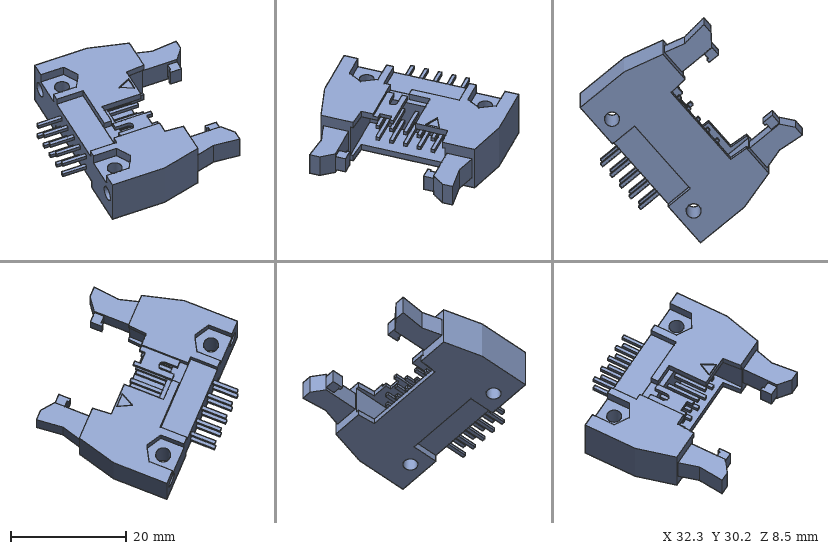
import cadquery as cq
import math

LENGTH = 32.3
HEIGHT = 8.5
MID_Z = HEIGHT / 2
SIDE_Y = 10.0
TOWER_Y = 17.25
TOWER_OUTER_X = 14.2
TOWER_INNER_X = 8.25
MIDDLE_Y = 13.82
MIDDLE_HALF = 7.98

WALL = 1.2
CAVITY_HALF = 8.72
CAVITY_FLOOR_Y = 7.4

PANEL_HALF = 6.98
PANEL_Y = 5.05
PANEL_SINK = 1.23
KEY_HALF = 2.07
KEY_END_Y = 6.43
PLATE_RIGHT_X = 5.78
PLATE_END_Y = 6.52
PLATE_SINK = 0.5
CHANNEL_LEFT_X = 1.8
NOTCH_X = 3.8
NOTCH_WIDTH = 2.13
NOTCH_DEPTH = 1.05
PLATE_SLOT_WIDTH = 1.45
PLATE_SLOT_TIP_Y = 9.63
MARK_X = -5.07
MARK_WIDTH = 2.52
MARK_BASE_Y = 13.47
MARK_TIP_Y = 11.0
MARK_DEPTH = 0.25

UNDER_HALF = 7.45
UNDER_HEIGHT = 1.52
UNDER_DEPTH = PANEL_Y

HOLE_DIAMETER = 2.6
SCREW_X = 10.95
SCREW_Y = 2.85
NUT_HALF_FLATS = 2.65
NUT_DEPTH = 1.78
BLIND_X = 14.0
BLIND_Z = 4.43
BLIND_DEPTH = 6.45

PIN_COLUMNS = 5
PIN_ROWS = 2
PIN_PITCH = 2.55
PIN_WIDTH = 0.65
PIN_TAIL = 4.52
PIN_TIP_Y = 13.47

OVERALL_DEPTH = 30.25
LATCH_TIP_Y = OVERALL_DEPTH - PIN_TAIL
LATCH_THICKNESS = 4.1
LATCH_INNER_X = 9.08
LATCH_BASE_X = 13.75
LATCH_WAIST_X = 12.73
LATCH_WAIST_Y = 20.93
LATCH_TIP_INNER_X = 11.35
LATCH_TIP_OUTER_X = 13.2
HOOK_TOP_Y = 24.0
HOOK_BOTTOM_Y = 22.2
HOOK_REACH_X = 7.2
HOOK_LIP_X = 7.82
HOOK_LIP_Y = 21.85
HOOK_THICKNESS = 2.9


def box(x_range, y_range, z_range):
    """Box between pairs of coordinates."""
    spans = [high - low for low, high in (x_range, y_range, z_range)]
    corner = (x_range[0], y_range[0], z_range[0])
    return cq.Workplane("XY").box(*spans, centered=False).translate(corner)


def prism(points, bottom, top):
    """Vertical prism of a polygon in XY."""
    return cq.Workplane("XY").workplane(offset=bottom).polyline(points).close().extrude(top - bottom)


def both_sides(solid):
    """The solid together with its mirror image across the middle plane."""
    return solid.union(solid.mirror("YZ"))


def housing():
    """Outer block with its towers, hollowed by the cavity and recessed underneath."""
    half = LENGTH / 2
    right = [
        (half, 0),
        (half, SIDE_Y),
        (TOWER_OUTER_X, TOWER_Y),
        (TOWER_INNER_X, TOWER_Y),
        (MIDDLE_HALF, MIDDLE_Y),
    ]
    left = [(-x, y) for x, y in reversed(right)]
    body = prism(right + left, 0, HEIGHT)
    cavity = box((-CAVITY_HALF, CAVITY_HALF), (CAVITY_FLOOR_Y, TOWER_Y), (WALL, HEIGHT - WALL))
    under = box((-UNDER_HALF, UNDER_HALF), (0, UNDER_DEPTH), (0, UNDER_HEIGHT))
    return body.cut(cavity).cut(under)


def upper_wall_cuts():
    """Panel, polarising slot, thinned plate with its slot and notch, and the contact mark."""
    through = (HEIGHT - WALL, HEIGHT)
    panel = box((-PANEL_HALF, PANEL_HALF), (0, PANEL_Y), (HEIGHT - PANEL_SINK, HEIGHT))
    key_slot = box((-KEY_HALF, KEY_HALF), (KEY_END_Y, MIDDLE_Y), through)
    channel = box((CHANNEL_LEFT_X, PLATE_RIGHT_X), (PANEL_Y, PLATE_END_Y), through)
    sink = box((KEY_HALF, PLATE_RIGHT_X), (PLATE_END_Y, MIDDLE_Y), (HEIGHT - PLATE_SINK, HEIGHT))
    notch = box(
        (NOTCH_X - NOTCH_WIDTH / 2, NOTCH_X + NOTCH_WIDTH / 2),
        (MIDDLE_Y - NOTCH_DEPTH, MIDDLE_Y),
        through,
    )
    radius = PLATE_SLOT_WIDTH / 2
    slot_centre_y = PLATE_SLOT_TIP_Y - radius
    slot = box((NOTCH_X - radius, NOTCH_X + radius), (PLATE_END_Y, slot_centre_y), through)
    slot_end = (
        cq.Workplane("XY", origin=(NOTCH_X, slot_centre_y, HEIGHT - WALL)).circle(radius).extrude(WALL)
    )
    mark = prism(
        [
            (MARK_X - MARK_WIDTH / 2, MARK_BASE_Y),
            (MARK_X + MARK_WIDTH / 2, MARK_BASE_Y),
            (MARK_X, MARK_TIP_Y),
        ],
        HEIGHT - MARK_DEPTH,
        HEIGHT,
    )
    return [panel, key_slot, channel, sink, notch, slot, slot_end, mark]


def mounting_cuts():
    """Hexagon nut pockets open at the board face, screw holes and blind holes."""
    shoulder = NUT_HALF_FLATS * math.tan(math.radians(30))
    apex = NUT_HALF_FLATS / math.cos(math.radians(30))
    pocket = prism(
        [
            (SCREW_X - NUT_HALF_FLATS, 0),
            (SCREW_X + NUT_HALF_FLATS, 0),
            (SCREW_X + NUT_HALF_FLATS, SCREW_Y + shoulder),
            (SCREW_X, SCREW_Y + apex),
            (SCREW_X - NUT_HALF_FLATS, SCREW_Y + shoulder),
        ],
        HEIGHT - NUT_DEPTH,
        HEIGHT,
    )
    screw_hole = cq.Workplane("XY").center(SCREW_X, SCREW_Y).circle(HOLE_DIAMETER / 2).extrude(HEIGHT)
    blind_hole = (
        cq.Workplane("XZ").center(BLIND_X, BLIND_Z).circle(HOLE_DIAMETER / 2).extrude(-BLIND_DEPTH)
    )
    return [both_sides(cut) for cut in (pocket, screw_hole, blind_hole)]


def pins():
    """Square pins that run through the cavity floor and stand out of the board face."""
    length = PIN_TAIL + PIN_TIP_Y
    return (
        cq.Workplane("XZ", origin=(0, -PIN_TAIL, MID_Z))
        .rarray(PIN_PITCH, PIN_PITCH, PIN_COLUMNS, PIN_ROWS)
        .rect(PIN_WIDTH, PIN_WIDTH)
        .extrude(-length)
    )


def latches():
    """Two ejector latches standing on the towers, each with an inward hook."""
    arm = prism(
        [
            (LATCH_INNER_X, TOWER_Y),
            (LATCH_BASE_X, TOWER_Y),
            (LATCH_WAIST_X, LATCH_WAIST_Y),
            (LATCH_TIP_OUTER_X, LATCH_TIP_Y),
            (LATCH_TIP_INNER_X, LATCH_TIP_Y),
            (LATCH_INNER_X, HOOK_TOP_Y),
        ],
        MID_Z - LATCH_THICKNESS / 2,
        MID_Z + LATCH_THICKNESS / 2,
    )
    hook = prism(
        [
            (LATCH_INNER_X, HOOK_TOP_Y),
            (HOOK_REACH_X, HOOK_TOP_Y),
            (HOOK_REACH_X, HOOK_LIP_Y),
            (HOOK_LIP_X, HOOK_LIP_Y),
            (HOOK_LIP_X, HOOK_BOTTOM_Y),
            (LATCH_INNER_X, HOOK_BOTTOM_Y),
        ],
        MID_Z - HOOK_THICKNESS / 2,
        MID_Z + HOOK_THICKNESS / 2,
    )
    return both_sides(arm.union(hook))


result = housing()
for cut in upper_wall_cuts() + mounting_cuts():
    result = result.cut(cut)
result = result.union(pins()).union(latches())